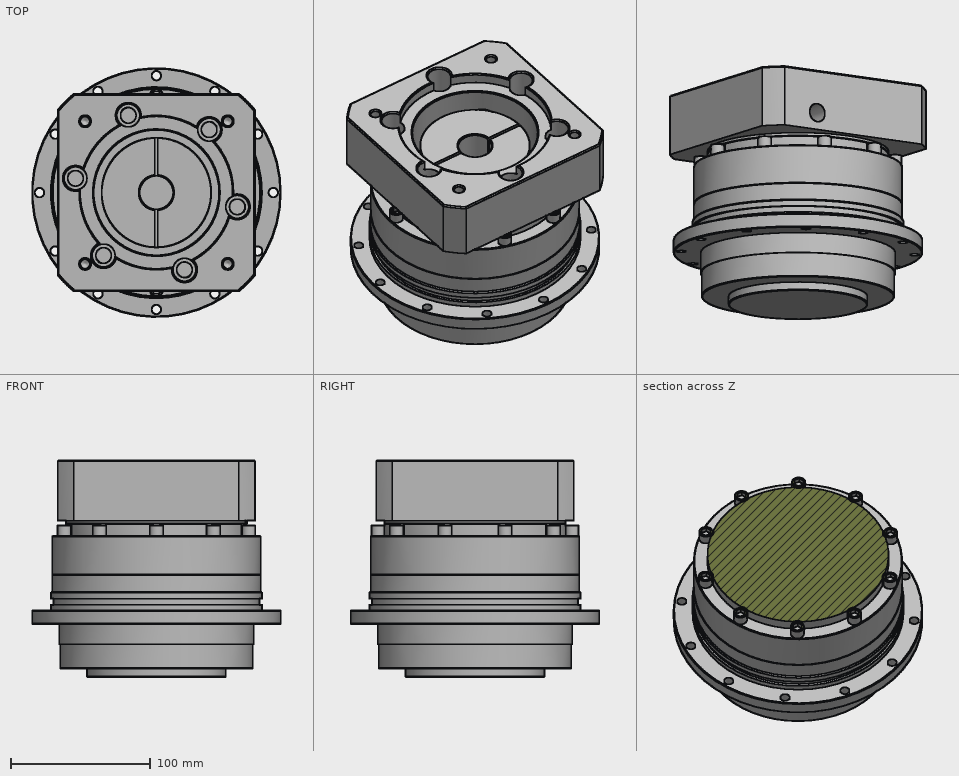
import cadquery as cq
import math


output_face_z = 0.0
nose_bottom_z = 6.0
nose_step_z = 23.5
flange_bottom_z = 38.0
flange_top_z = 48.0
seal_groove_bottom_z = 52.0
seal_groove_top_z = 56.5
pilot_top_z = 61.5
joint_line_z = 73.5
shoulder_z = 101.5
adapter_seat_z = 110.5
adapter_plate_z = 112.5
adapter_top_z = 156.0

output_radius = 50.0
nose_radius = 69.3
nose_root_radius = 70.0
flange_radius = 89.5
pilot_radius = 76.0
seal_groove_radius = 74.1
drum_radius = 75.0
neck_radius = 65.2
edge_chamfer = 0.6
joint_groove_depth = 0.3

flange_hole_count = 12
flange_hole_circle_radius = 84.0
flange_hole_diameter = 6.6

screw_count = 10
first_screw_angle = 90.0
screw_circle_radius = 69.75
screw_head_radius = 4.8
screw_head_height = 7.5
screw_head_chamfer = 0.3
screw_socket_width = 6.0
screw_socket_depth = 3.5
screw_clearance_radius = 5.5

adapter_width = 142.0
adapter_corner_radius = 92.5
adapter_chamfer = 1.0
recess_radius = 54.75
recess_depth = 8.0
bore_radius = 45.0
mouth_chamfer = 0.8

adapter_bolt_count = 6
adapter_bolt_circle_radius = 59.0
adapter_bolt_first_angle = 50.0
counterbore_radius = 8.25
counterbore_chamfer = 1.0
counterbore_depth = 30.0
adapter_bolt_hole_radius = 5.6

motor_hole_count = 4
first_motor_hole_angle = 45.0
motor_hole_spacing = 102.5
motor_hole_radius = 3.4
motor_hole_chamfer = 1.0
motor_hole_depth = 20.0
drill_tip_angle = 118.0

access_hole_y = 31.0
access_hole_z = 124.8
access_hole_radius = 6.6

hub_radius = 39.5
hub_top_z = 135.5
hub_edge_chamfer = 0.3
hub_bore_radius = 12.0
hub_bore_chamfer = 0.8
hub_slot_width = 2.0
hub_slot_depth = 20.0
clamp_spot_face_x = -12.0
clamp_screw_hole_radius = 5.5
clamp_screw_hole_depth = 2.0
clamp_socket_radius = 4.2
clamp_socket_depth = 4.0


def cylinder(radius, bottom_z, top_z):
    return cq.Workplane("XY").workplane(offset=bottom_z).circle(radius).extrude(top_z - bottom_z)


def countersink(radius, depth, top_z):
    """A 45 degree cone that chamfers the mouth of a hole of the given radius."""
    cone = cq.Solid.makeCone(radius, radius + depth, depth, pnt=cq.Vector(0, 0, top_z - depth))
    return cq.Workplane(cone)


def on_circle(body, radius, count, first_angle):
    """Copies of a body made on the axis, spread evenly around a circle."""
    for index in range(count):
        angle = math.radians(first_angle + 360.0 * index / count)
        yield body.translate((radius * math.cos(angle), radius * math.sin(angle), 0))


def make_turned_housing():
    c = edge_chamfer
    g = joint_groove_depth
    pilot_chamfer = pilot_radius - drum_radius
    profile = [
        (0, output_face_z),
        (output_radius - c, output_face_z),
        (output_radius, output_face_z + c),
        (output_radius, nose_bottom_z),
        (nose_radius - c, nose_bottom_z),
        (nose_radius, nose_bottom_z + c),
        (nose_radius, nose_step_z),
        (nose_root_radius, nose_step_z),
        (nose_root_radius, flange_bottom_z),
        (flange_radius - c, flange_bottom_z),
        (flange_radius, flange_bottom_z + c),
        (flange_radius, flange_top_z - c),
        (flange_radius - c, flange_top_z),
        (pilot_radius, flange_top_z),
        (pilot_radius, seal_groove_bottom_z),
        (seal_groove_radius, seal_groove_bottom_z),
        (seal_groove_radius, seal_groove_top_z),
        (pilot_radius, seal_groove_top_z),
        (pilot_radius, pilot_top_z - pilot_chamfer),
        (drum_radius, pilot_top_z),
        (drum_radius, joint_line_z - g),
        (drum_radius - g, joint_line_z),
        (drum_radius, joint_line_z + g),
        (drum_radius, shoulder_z - c),
        (drum_radius - c, shoulder_z),
        (neck_radius, shoulder_z),
        (neck_radius, adapter_seat_z - c),
        (neck_radius - c, adapter_seat_z),
        (0, adapter_seat_z),
    ]
    return cq.Workplane("XZ").polyline(profile).close().revolve(360, (0, 0, 0), (0, 1, 0))


def make_screw_head():
    head = cylinder(screw_head_radius, shoulder_z, shoulder_z + screw_head_height)
    head = head.faces(">Z").chamfer(screw_head_chamfer)
    socket_diameter = screw_socket_width / math.cos(math.radians(30))
    return head.faces(">Z").workplane().polygon(6, socket_diameter).cutBlind(-screw_socket_depth)


def make_housing():
    housing = make_turned_housing()

    flange_hole = cylinder(flange_hole_diameter / 2, flange_bottom_z, flange_top_z)
    for hole in on_circle(flange_hole, flange_hole_circle_radius, flange_hole_count, 0):
        housing = housing.cut(hole)

    clearance = cylinder(screw_clearance_radius, shoulder_z, adapter_seat_z)
    for scallop in on_circle(clearance, screw_circle_radius, screw_count, first_screw_angle):
        housing = housing.cut(scallop)
    for head in on_circle(make_screw_head(), screw_circle_radius, screw_count, first_screw_angle):
        housing = housing.union(head)
    return housing


def make_adapter_block():
    """Square block whose corners are turned to a circle, on a short round neck."""
    height = adapter_top_z - adapter_plate_z
    block = cq.Workplane("XY").workplane(offset=adapter_plate_z).rect(adapter_width, adapter_width)
    block = block.extrude(height)
    block = block.intersect(cylinder(adapter_corner_radius, adapter_plate_z, adapter_top_z))
    block = block.faces(">Z").chamfer(adapter_chamfer)
    return block.union(cylinder(neck_radius, adapter_seat_z, adapter_plate_z))


def make_adapter_bolt_hole():
    """Counterbored hole with a chamfered mouth at the top face."""
    floor_z = adapter_top_z - counterbore_depth
    hole = cylinder(counterbore_radius, floor_z, adapter_top_z)
    hole = hole.union(cylinder(adapter_bolt_hole_radius, adapter_seat_z, floor_z))
    return hole.union(countersink(counterbore_radius, counterbore_chamfer, adapter_top_z))


def make_motor_hole():
    """Blind threaded-hole core with a drill tip and a chamfered mouth."""
    bottom_z = adapter_top_z - motor_hole_depth
    tip = motor_hole_radius / math.tan(math.radians(drill_tip_angle / 2))
    outline = [
        (0, bottom_z - tip),
        (motor_hole_radius, bottom_z),
        (motor_hole_radius, adapter_top_z - motor_hole_chamfer),
        (motor_hole_radius + motor_hole_chamfer, adapter_top_z),
        (0, adapter_top_z),
    ]
    return cq.Workplane("XZ").polyline(outline).close().revolve(360, (0, 0, 0), (0, 1, 0))


def access_drill(radius, start_x, end_x):
    """Cylinder along X on the axis of the clamp screw."""
    base = cq.Workplane("YZ", origin=(start_x, access_hole_y, access_hole_z))
    return base.circle(radius).extrude(end_x - start_x)


def make_adapter():
    adapter = make_adapter_block()
    recess_floor_z = adapter_top_z - recess_depth

    adapter = adapter.cut(cylinder(recess_radius, recess_floor_z, adapter_top_z))
    adapter = adapter.cut(countersink(recess_radius, mouth_chamfer, adapter_top_z))
    adapter = adapter.cut(cylinder(bore_radius, adapter_seat_z, recess_floor_z))
    adapter = adapter.cut(countersink(bore_radius, mouth_chamfer, recess_floor_z))

    bolt_hole = make_adapter_bolt_hole()
    first_angle = adapter_bolt_first_angle
    for hole in on_circle(bolt_hole, adapter_bolt_circle_radius, adapter_bolt_count, first_angle):
        adapter = adapter.cut(hole)

    motor_hole_circle_radius = motor_hole_spacing / math.sqrt(2)
    motor_hole = make_motor_hole()
    first_angle = first_motor_hole_angle
    for hole in on_circle(motor_hole, motor_hole_circle_radius, motor_hole_count, first_angle):
        adapter = adapter.cut(hole)

    side_x = -adapter_width / 2
    adapter = adapter.cut(access_drill(access_hole_radius, side_x, 0))
    return adapter


def make_hub():
    hub = cylinder(hub_radius, adapter_seat_z, hub_top_z).faces(">Z").chamfer(hub_edge_chamfer)
    hub = hub.cut(cylinder(hub_bore_radius, adapter_seat_z, hub_top_z))
    hub = hub.cut(countersink(hub_bore_radius, hub_bore_chamfer, hub_top_z))

    slot = cq.Workplane("XY").workplane(offset=hub_top_z).rect(hub_slot_width, 2 * hub_radius)
    hub = hub.cut(slot.extrude(-hub_slot_depth))

    hub = hub.cut(access_drill(access_hole_radius, -hub_radius, clamp_spot_face_x))
    socket_start_x = clamp_spot_face_x + clamp_screw_hole_depth
    hub = hub.cut(access_drill(clamp_screw_hole_radius, clamp_spot_face_x, socket_start_x))
    socket_end_x = socket_start_x + clamp_socket_depth
    return hub.cut(access_drill(clamp_socket_radius, socket_start_x, socket_end_x))


housing = make_housing().solids()
adapter = make_adapter().solids()
hub = make_hub().solids()

result = cq.Compound.makeCompound([housing.val(), adapter.val(), hub.val()])